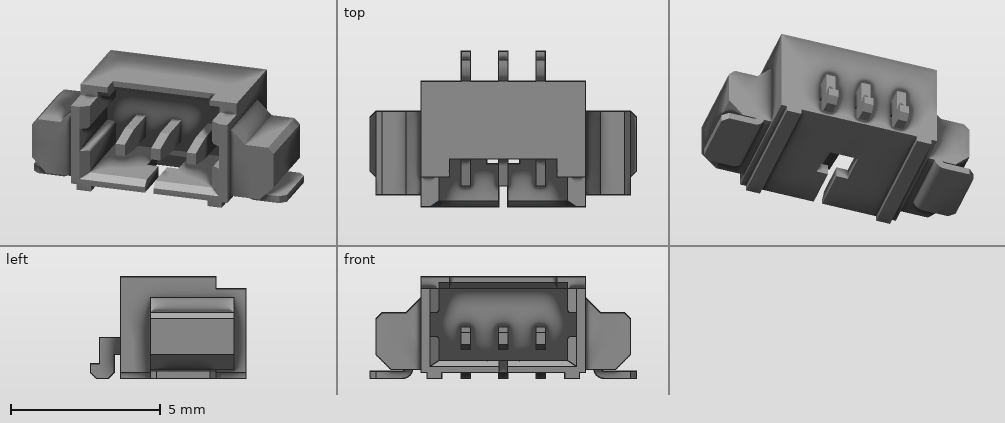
import cadquery as cq
import math

BODY_WIDTH = 5.5
BODY_DEPTH = 4.2
BODY_BOTTOM = 0.2
BODY_TOP = 3.4
FRONT_WALL_TOP = 3.0
ROOF_SETBACK = 1.0
RAIL_INNER_X = 2.05
RAIL_WIDTH = 0.5

CAVITY_HALF_WIDTH = 2.15
CAVITY_FLOOR = 0.6
CAVITY_CEILING = FRONT_WALL_TOP
CAVITY_DEPTH = 2.95
LEAD_IN = 0.2
MOUTH_HALF_WIDTH = 2.45
GROOVE_BOTTOM = 1.4
GROOVE_TOP = 2.2
GROOVE_EDGE_RADIUS = 0.1

WINDOW_WIDTH = 3.6
WINDOW_DEPTH = 0.6
SLOT_WIDTH = 0.3
OPENING_WIDTH = 1.1
OPENING_FRONT = 1.45
OPENING_LENGTH = 1.05

WING_FRONT = 0.4
WING_BACK = 3.2
WING_OUTER_X = 4.25
WING_BOTTOM = 0.3
WING_TOP = 2.2
WING_TOP_CHAMFER = 0.2
WING_SLOPE = 0.5

TAB_FRONT = 1.0
TAB_OUTER_X = 4.45
TAB_INNER_X = 3.02
TAB_THICKNESS = 0.25
TAB_BEND_RADIUS = 0.1
TAB_CHAMFER = 0.2
TAB_EMBED_TOP = 1.0

PIN_PITCH = 1.25
PIN_COUNT = 3
PIN_THICKNESS = 0.32
PIN_TIP_Y = 0.7
PIN_TAPER_LENGTH = 0.97
PIN_BOTTOM = 0.97
PIN_TOP = 1.72
PIN_TIP_BOTTOM = 1.13
PIN_TIP_TOP = 1.535
LEG_BOTTOM = 0.8
LEG_TOP = 1.37
LEG_INNER_OFFSET = 0.2
LEG_OUTER_OFFSET = 0.7
FOOT_OFFSET = 1.0
FOOT_TOP = 0.5
FOOT_CHAMFER = 0.2


def block(x_range, y_range, z_range):
    """Axis-aligned box between the given limits."""
    size = [high - low for low, high in (x_range, y_range, z_range)]
    corner = (x_range[0], y_range[0], z_range[0])
    return cq.Workplane("XY").box(*size, centered=False).translate(corner)


def centred_block(width, y_range, z_range):
    """Box symmetric about the YZ plane."""
    return block((-width / 2, width / 2), y_range, z_range)


def extrude_along_y(profile, y_start, y_end):
    """Extrude a closed XZ profile from y_start to y_end."""
    return profile.extrude(y_start - y_end).translate((0, y_start, 0))


def extrude_along_x(points, width):
    """Extrude a closed YZ outline symmetrically about X = 0."""
    return cq.Workplane("YZ").polyline(points).close().extrude(width / 2, both=True)


def with_mirror(shape):
    """Join a shape with its mirror image across the YZ plane."""
    return shape.union(shape.mirror("YZ"))


def make_shell():
    """Stepped outer block standing on two rails."""
    shell = centred_block(BODY_WIDTH, (0, BODY_DEPTH), (BODY_BOTTOM, FRONT_WALL_TOP))
    roof = centred_block(BODY_WIDTH, (ROOF_SETBACK, BODY_DEPTH), (FRONT_WALL_TOP, BODY_TOP))
    rail = block(
        (RAIL_INNER_X, RAIL_INNER_X + RAIL_WIDTH),
        (0, BODY_DEPTH),
        (0, BODY_BOTTOM),
    )
    return shell.union(roof).union(with_mirror(rail))


def make_cavity():
    """Socket with key grooves in both side walls and a flared mouth."""
    cavity = centred_block(
        2 * CAVITY_HALF_WIDTH, (0, CAVITY_DEPTH), (CAVITY_FLOOR, CAVITY_CEILING)
    )
    groove = centred_block(
        2 * MOUTH_HALF_WIDTH, (0, CAVITY_DEPTH), (GROOVE_BOTTOM, GROOVE_TOP)
    )
    cavity = cavity.union(groove)
    margin = GROOVE_EDGE_RADIUS
    edge_x = CAVITY_HALF_WIDTH + margin
    rib_edges = cq.selectors.BoxSelector(
        (-edge_x, 0, GROOVE_BOTTOM - margin),
        (edge_x, CAVITY_DEPTH, GROOVE_TOP + margin),
    )
    cavity = cavity.edges("|Y").edges(rib_edges).fillet(GROOVE_EDGE_RADIUS)
    return cavity.union(make_mouth_flare())


def make_mouth_flare():
    """Lead-in wedge that widens the cavity to both sides and downwards."""
    outer_height = CAVITY_CEILING - (CAVITY_FLOOR - LEAD_IN)
    inner_height = CAVITY_CEILING - CAVITY_FLOOR
    return (
        cq.Workplane("XZ")
        .center(0, CAVITY_CEILING - outer_height / 2)
        .rect(2 * MOUTH_HALF_WIDTH, outer_height)
        .workplane(offset=-LEAD_IN)
        .center(0, LEAD_IN / 2)
        .rect(2 * CAVITY_HALF_WIDTH, inner_height)
        .loft(ruled=True)
    )


def make_ceiling_chamfer(front_y, width):
    """Wedge that bevels the lower edge of the roof starting at front_y."""
    outline = [
        (front_y, CAVITY_CEILING),
        (front_y + LEAD_IN, CAVITY_CEILING),
        (front_y, CAVITY_CEILING + LEAD_IN),
    ]
    return extrude_along_x(outline, width)


def make_housing():
    """Hollowed shell with the roof window, bevelled roof edges and T-shaped floor cut-out."""
    window_back = ROOF_SETBACK + WINDOW_DEPTH
    window = centred_block(WINDOW_WIDTH, (ROOF_SETBACK, window_back), (CAVITY_CEILING, BODY_TOP))
    slot = centred_block(SLOT_WIDTH, (0, OPENING_FRONT), (BODY_BOTTOM, CAVITY_FLOOR))
    opening = centred_block(
        OPENING_WIDTH,
        (OPENING_FRONT, OPENING_FRONT + OPENING_LENGTH),
        (BODY_BOTTOM, CAVITY_FLOOR),
    )
    housing = make_shell().cut(make_cavity())
    housing = housing.cut(make_ceiling_chamfer(ROOF_SETBACK, 2 * CAVITY_HALF_WIDTH))
    housing = housing.cut(window)
    housing = housing.cut(make_ceiling_chamfer(window_back, WINDOW_WIDTH))
    return housing.cut(slot).cut(opening)


def make_wing():
    """Faceted wing on the +X side of the housing."""
    wall_x = BODY_WIDTH / 2
    outline = [
        (wall_x, WING_BOTTOM),
        (WING_OUTER_X - WING_SLOPE, WING_BOTTOM),
        (WING_OUTER_X, WING_BOTTOM + WING_SLOPE),
        (WING_OUTER_X, WING_TOP - WING_TOP_CHAMFER),
        (WING_OUTER_X - WING_TOP_CHAMFER, WING_TOP),
        (wall_x + WING_SLOPE, WING_TOP),
        (wall_x, WING_TOP + WING_SLOPE),
    ]
    profile = cq.Workplane("XZ").polyline(outline).close()
    return extrude_along_y(profile, WING_FRONT, WING_BACK)


def make_tab():
    """Bent solder tab on the +X side, rooted inside the wing."""
    outer_radius = TAB_BEND_RADIUS + TAB_THICKNESS
    centre_x = TAB_INNER_X + outer_radius
    centre_z = outer_radius
    diagonal = math.sqrt(0.5)
    outer_middle = (centre_x - outer_radius * diagonal, centre_z - outer_radius * diagonal)
    inner_middle = (centre_x - TAB_BEND_RADIUS * diagonal, centre_z - TAB_BEND_RADIUS * diagonal)
    profile = (
        cq.Workplane("XZ")
        .moveTo(TAB_OUTER_X, 0)
        .lineTo(centre_x, 0)
        .threePointArc(outer_middle, (TAB_INNER_X, centre_z))
        .lineTo(TAB_INNER_X, TAB_EMBED_TOP)
        .lineTo(TAB_INNER_X + TAB_THICKNESS, TAB_EMBED_TOP)
        .lineTo(TAB_INNER_X + TAB_THICKNESS, centre_z)
        .threePointArc(inner_middle, (centre_x, TAB_THICKNESS))
        .lineTo(TAB_OUTER_X, TAB_THICKNESS)
        .close()
    )
    tab = extrude_along_y(profile, TAB_FRONT, WING_BACK)
    return tab.faces(">X").edges("|Z").chamfer(TAB_CHAMFER)


def make_pin():
    """Contact with a tapered blade in the socket and a bent leg behind the housing."""
    taper_end = PIN_TIP_Y + PIN_TAPER_LENGTH
    blade_back = (CAVITY_DEPTH + BODY_DEPTH) / 2
    blade = [
        (PIN_TIP_Y, PIN_TIP_BOTTOM),
        (taper_end, PIN_BOTTOM),
        (blade_back, PIN_BOTTOM),
        (blade_back, PIN_TOP),
        (taper_end, PIN_TOP),
        (PIN_TIP_Y, PIN_TIP_TOP),
    ]
    leg_inner = BODY_DEPTH + LEG_INNER_OFFSET
    leg_outer = BODY_DEPTH + LEG_OUTER_OFFSET
    foot_end = BODY_DEPTH + FOOT_OFFSET
    leg = [
        (blade_back, LEG_TOP),
        (leg_outer, LEG_TOP),
        (leg_outer, FOOT_TOP),
        (foot_end, FOOT_TOP),
        (foot_end, FOOT_CHAMFER),
        (foot_end - FOOT_CHAMFER, 0),
        (leg_inner + FOOT_CHAMFER, 0),
        (leg_inner, FOOT_CHAMFER),
        (leg_inner, LEG_BOTTOM),
        (blade_back, LEG_BOTTOM),
    ]
    return extrude_along_x(blade, PIN_THICKNESS).union(extrude_along_x(leg, PIN_THICKNESS))


result = make_housing().union(with_mirror(make_wing().union(make_tab())))
for index in range(PIN_COUNT):
    pin_x = (index - (PIN_COUNT - 1) / 2) * PIN_PITCH
    result = result.union(make_pin().translate((pin_x, 0, 0)))